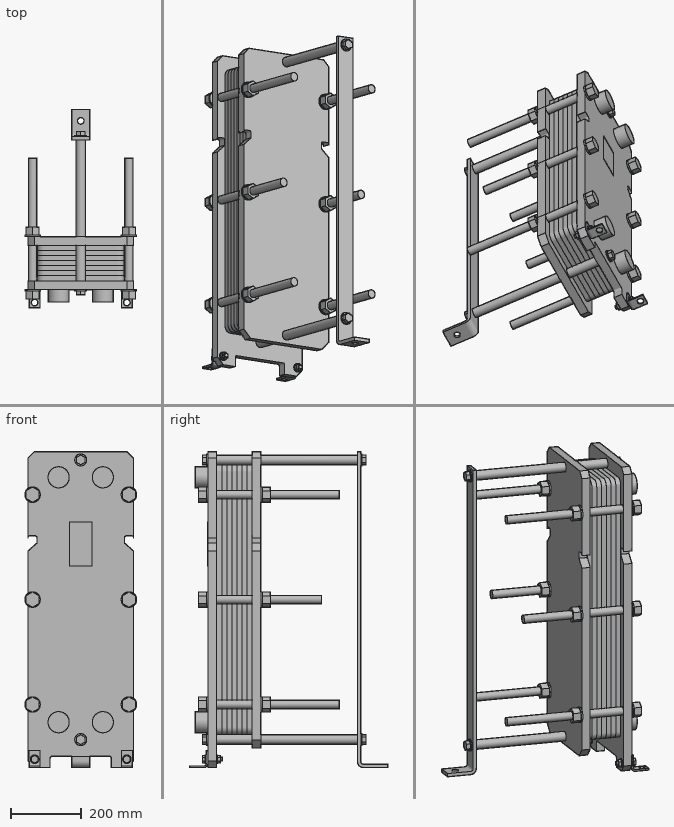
import cadquery as cq
import math


HEIGHT = 896.0
PLATE_WIDTH = 299.0
PLATE_THICKNESS = 25.0
TOP_CHAMFER = 18.0
FRAME_BOTTOM_CHAMFER = 20.0
PRESSURE_BOTTOM_CHAMFER = 23.0
PRESSURE_PLATE_BOTTOM = 56.0
HALF_WIDTH = PLATE_WIDTH / 2

NOTCH_TOP = 658.0
NOTCH_DEPTH = 25.0
NOTCH_ROUND = 6.0
NOTCH_WALL_BOTTOM = 637.0
NOTCH_BOTTOM = 615.0

LEG_GAP = 173.0
LEG_GAP_HEIGHT = 32.0
LEG_GAP_FILLET = 5.0

HEAT_PLATE_COUNT = 7
HEAT_PLATE_THICKNESS = 14.0
HEAT_PLATE_WIDTH = 247.0
HEAT_PLATE_BOTTOM = 94.0
HEAT_PLATE_TOP = 858.0
HEAT_PLATE_CORNER = 20.0

PACK_FRONT = PLATE_THICKNESS
PRESSURE_FRONT = PACK_FRONT + HEAT_PLATE_COUNT * HEAT_PLATE_THICKNESS
PRESSURE_REAR = PRESSURE_FRONT + PLATE_THICKNESS

PORT_DIAMETER = 60.0
PORT_LENGTH = 36.0
PORT_X = 63.0
PORT_HEIGHTS = (129.0, 823.0)

LABEL_WIDTH = 64.0
LABEL_HEIGHT = 124.5
LABEL_THICKNESS = 1.0
LABEL_CENTRE_Z = 634.0

BOLT_DIAMETER = 24.0
BOLT_X = 136.6
BOLT_MIDDLE_Z = 477.0
BOLT_SPACING = 297.5
BOLT_FLANGE_DIAMETER = 44.0
BOLT_FLANGE_THICKNESS = 4.5
BOLT_HEX_ACROSS_FLATS = 38.0
BOLT_HEX_HEIGHT = 22.0
OUTER_BOLT_END = 373.0
MIDDLE_BOLT_END = 323.0

BAR_DIAMETER = 28.0
BAR_HEIGHTS = (80.0, 873.0)
BAR_WASHER_DIAMETER = 34.0
BAR_WASHER_THICKNESS = 4.0
BAR_HEX_ACROSS_FLATS = 24.0
BAR_HEX_HEIGHT = 12.0

COLUMN_WIDTH = 52.0
COLUMN_THICKNESS = 10.0
COLUMN_FRONT = 424.0
COLUMN_FOOT_END = 511.0
COLUMN_BEND_RADIUS = 18.0
COLUMN_HOLE_DIAMETER = 18.0
COLUMN_HOLE_Y = 478.5
COLUMN_REAR = COLUMN_FRONT + COLUMN_THICKNESS

FOOT_WIDTH = 31.0
FOOT_X = 131.0
FOOT_HEIGHT = 48.0
FOOT_LENGTH = 52.0
FOOT_THICKNESS = 5.0
FOOT_BEND_RADIUS = 12.0
FOOT_HOLE_DIAMETER = 18.0
FOOT_HOLE_Y = -37.0

SCREW_DIAMETER = 12.0
SCREW_Z = 24.0
SCREW_WASHER_DIAMETER = 24.0
SCREW_WASHER_THICKNESS = 3.0
SCREW_HEX_ACROSS_FLATS = 19.0
SCREW_HEX_HEIGHT = 8.0
SCREW_TIP = 5.0

SIDES = (-1, 1)


def cylinder(diameter, x, z, y_start, y_end):
    """Cylinder along Y between two Y positions."""
    plane = cq.Workplane("XZ", origin=(x, y_start, z))
    return plane.circle(diameter / 2).extrude(y_start - y_end)


def hexagon(across_flats, x, z, y_start, y_end):
    """Hexagonal prism along Y with a corner pointing up."""
    across_corners = across_flats / math.cos(math.pi / 6)
    plane = cq.Workplane("XZ", origin=(x, y_start, z))
    prism = plane.polygon(6, across_corners).extrude(y_start - y_end)
    return prism.rotate((x, 0, z), (x, 1, z), 90)


def nut_on_washer(washer, thickness, across_flats, height, x, z, face_y, outward):
    """Round washer on the face at face_y with a hexagon on it; outward is -1 or 1 along Y."""
    seat_y = face_y + outward * thickness
    disc = cylinder(washer, x, z, face_y, seat_y)
    return disc.union(hexagon(across_flats, x, z, seat_y, seat_y + outward * height))


def bolt_nut(x, z, face_y, outward):
    return nut_on_washer(
        BOLT_FLANGE_DIAMETER, BOLT_FLANGE_THICKNESS, BOLT_HEX_ACROSS_FLATS, BOLT_HEX_HEIGHT,
        x, z, face_y, outward,
    )


def bar_nut(z, face_y, outward):
    return nut_on_washer(
        BAR_WASHER_DIAMETER, BAR_WASHER_THICKNESS, BAR_HEX_ACROSS_FLATS, BAR_HEX_HEIGHT,
        0, z, face_y, outward,
    )


def screw_nut(x, face_y, outward):
    return nut_on_washer(
        SCREW_WASHER_DIAMETER, SCREW_WASHER_THICKNESS, SCREW_HEX_ACROSS_FLATS, SCREW_HEX_HEIGHT,
        x, SCREW_Z, face_y, outward,
    )


def notch_cutter(y_front):
    """Hook-shaped lifting notch in the +X edge."""
    wall_x = HALF_WIDTH - NOTCH_DEPTH
    shoulder_z = NOTCH_TOP - NOTCH_ROUND
    arc_offset = NOTCH_ROUND * (1 - math.sqrt(0.5))
    return (
        cq.Workplane("XZ", origin=(0, y_front, 0))
        .moveTo(HALF_WIDTH, NOTCH_BOTTOM)
        .lineTo(HALF_WIDTH, shoulder_z)
        .threePointArc(
            (HALF_WIDTH - arc_offset, NOTCH_TOP - arc_offset),
            (HALF_WIDTH - NOTCH_ROUND, NOTCH_TOP),
        )
        .lineTo(wall_x + NOTCH_ROUND, NOTCH_TOP)
        .threePointArc((wall_x + arc_offset, NOTCH_TOP - arc_offset), (wall_x, shoulder_z))
        .lineTo(wall_x, NOTCH_WALL_BOTTOM)
        .close()
        .extrude(-PLATE_THICKNESS)
    )


def end_plate(y_front, bottom_z, bottom_chamfer):
    """Plate with chamfered corners and a lifting notch in each edge."""
    plate = (
        cq.Workplane("XY", origin=(0, y_front, bottom_z))
        .box(PLATE_WIDTH, PLATE_THICKNESS, HEIGHT - bottom_z, centered=(True, False, False))
    )
    plate = plate.faces(">Z").edges("|Y").chamfer(TOP_CHAMFER)
    plate = plate.faces("<Z").edges("|Y").chamfer(bottom_chamfer)
    notch = notch_cutter(y_front)
    return plate.cut(notch).cut(notch.mirror("YZ"))


def bolt_places():
    """X, Z and rear end of each tightening bolt."""
    rows = [
        (BOLT_MIDDLE_Z - BOLT_SPACING, OUTER_BOLT_END),
        (BOLT_MIDDLE_Z, MIDDLE_BOLT_END),
        (BOLT_MIDDLE_Z + BOLT_SPACING, OUTER_BOLT_END),
    ]
    return [(side * BOLT_X, z, end_y) for side in SIDES for z, end_y in rows]


def frame_plate():
    plate = end_plate(0, 0, FRAME_BOTTOM_CHAMFER)
    gap = (
        cq.Workplane("XY")
        .box(LEG_GAP, PLATE_THICKNESS, LEG_GAP_HEIGHT, centered=(True, False, False))
        .faces(">Z")
        .edges("|Y")
        .fillet(LEG_GAP_FILLET)
    )
    plate = plate.cut(gap)
    label = cq.Workplane("XZ", origin=(0, 0, LABEL_CENTRE_Z))
    plate = plate.union(label.rect(LABEL_WIDTH, LABEL_HEIGHT).extrude(LABEL_THICKNESS))
    for side in SIDES:
        for z in PORT_HEIGHTS:
            plate = plate.union(cylinder(PORT_DIAMETER, side * PORT_X, z, -PORT_LENGTH, 0))
    return plate


def bent_strip(width, x, thickness, height, length, bend_radius):
    """L-shaped strip on the floor: upright against y = 0, foot reaching toward +Y."""
    strip = (
        cq.Workplane("YZ", origin=(x - width / 2, 0, 0))
        .polyline([
            (0, 0), (length, 0), (length, thickness),
            (thickness, thickness), (thickness, height), (0, height),
        ])
        .close()
        .extrude(width)
    )
    strip = strip.faces("<Y").edges("<Z").fillet(bend_radius)
    inner_corner = cq.selectors.NearestToPointSelector((x, thickness, thickness))
    return strip.edges(inner_corner).fillet(bend_radius - thickness)


def floor_hole(diameter, x, y, depth):
    return cq.Workplane("XY", origin=(x, y, 0)).circle(diameter / 2).extrude(depth)


def support_column():
    foot_length = COLUMN_FOOT_END - COLUMN_FRONT
    column = bent_strip(COLUMN_WIDTH, 0, COLUMN_THICKNESS, HEIGHT, foot_length, COLUMN_BEND_RADIUS)
    column = column.translate((0, COLUMN_FRONT, 0))
    return column.cut(floor_hole(COLUMN_HOLE_DIAMETER, 0, COLUMN_HOLE_Y, COLUMN_THICKNESS))


def angle_foot(x):
    """Angle foot on the front face of the frame plate, with its screw and nuts."""
    foot = bent_strip(FOOT_WIDTH, x, FOOT_THICKNESS, FOOT_HEIGHT, FOOT_LENGTH, FOOT_BEND_RADIUS)
    foot = foot.mirror("XZ")
    foot = foot.cut(floor_hole(FOOT_HOLE_DIAMETER, x, FOOT_HOLE_Y, FOOT_THICKNESS))
    nut_end = PLATE_THICKNESS + SCREW_WASHER_THICKNESS + SCREW_HEX_HEIGHT
    foot = foot.union(screw_nut(x, -FOOT_THICKNESS, -1))
    foot = foot.union(screw_nut(x, PLATE_THICKNESS, 1))
    return foot.union(cylinder(SCREW_DIAMETER, x, SCREW_Z, -FOOT_THICKNESS, nut_end + SCREW_TIP))


def build_frame():
    """Frame plate with label, ports, bolts, guide bars, column and feet as one rigid body."""
    frame = frame_plate()
    for x, z, end_y in bolt_places():
        frame = frame.union(cylinder(BOLT_DIAMETER, x, z, 0, end_y))
        frame = frame.union(bolt_nut(x, z, 0, -1))
        frame = frame.union(bolt_nut(x, z, PRESSURE_REAR, 1))
    frame = frame.union(support_column())
    for z in BAR_HEIGHTS:
        frame = frame.union(cylinder(BAR_DIAMETER, 0, z, 0, COLUMN_REAR))
        frame = frame.union(bar_nut(z, 0, -1))
        frame = frame.union(bar_nut(z, COLUMN_REAR, 1))
    for side in SIDES:
        frame = frame.union(angle_foot(side * FOOT_X))
    return frame


def build_pressure_plate():
    """Rear end plate with holes for the bolts and guide bars."""
    plate = end_plate(PRESSURE_FRONT, PRESSURE_PLATE_BOTTOM, PRESSURE_BOTTOM_CHAMFER)
    for x, z, _ in bolt_places():
        plate = plate.cut(cylinder(BOLT_DIAMETER, x, z, PRESSURE_FRONT, PRESSURE_REAR))
    for z in BAR_HEIGHTS:
        plate = plate.cut(cylinder(BAR_DIAMETER, 0, z, PRESSURE_FRONT, PRESSURE_REAR))
    return plate


def build_heat_plate(index):
    """One heat transfer plate of the pack, counted from the frame plate."""
    y_front = PACK_FRONT + index * HEAT_PLATE_THICKNESS
    height = HEAT_PLATE_TOP - HEAT_PLATE_BOTTOM
    return (
        cq.Workplane("XY", origin=(0, y_front, HEAT_PLATE_BOTTOM))
        .box(HEAT_PLATE_WIDTH, HEAT_PLATE_THICKNESS, height, centered=(True, False, False))
        .edges("|Y")
        .fillet(HEAT_PLATE_CORNER)
    )


frame = build_frame()
pressure_plate = build_pressure_plate()
heat_plates = [build_heat_plate(index) for index in range(HEAT_PLATE_COUNT)]

result = cq.Compound.makeCompound(
    [frame.val(), pressure_plate.val(), *[plate.val() for plate in heat_plates]]
)